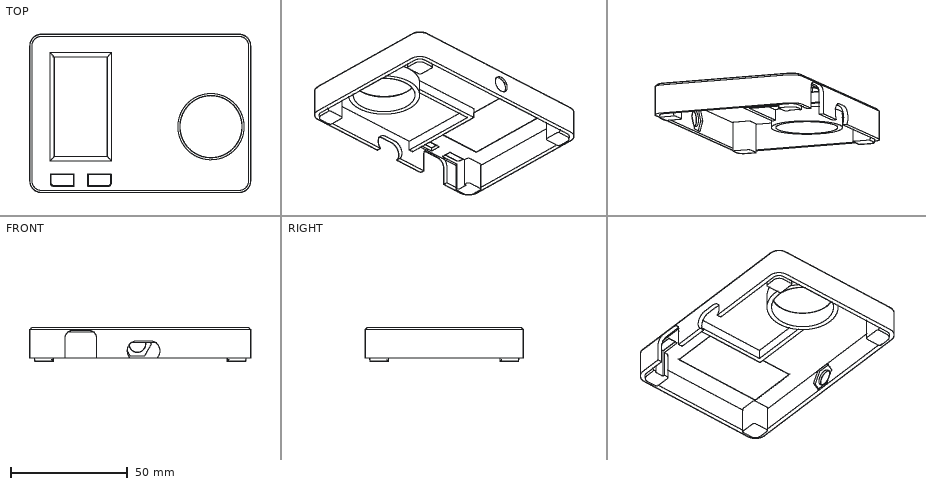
import cadquery as cq

length = 94.65
width = 67.9
height = 14.5

foot_height = 1.3
wall = 2.0
corner_radius = 5.0
top_chamfer = 0.9
rim_z = foot_height
ceiling_z = height - wall
inner_length = length - 2 * wall
inner_width = width - 2 * wall
inner_radius = corner_radius - wall

post_size = 8.1
post_edge_radius = 1.0
foot_straight = 0.3
foot_taper_height = foot_height - foot_straight
foot_taper_inset = 0.2

display_x = -25.5
display_y = 2.8
display_length = 22.5
display_width = 42.5

button_length = 9.5
button_width = 4.6
button_spacing = 15.9
button_y = -28.6
button_corner_radius = 1.0
button_chamfer = 0.4

opening_x = 30.3
opening_y = -5.7
opening_diameter = 26.5
opening_chamfer = 0.9
collar_depth = 8.3

notch_length = 13.6
notch_top_z = height - 1.2
notch_radius = 3.5
slot_x = 1.4
slot_length = 14.0
slot_height = 8.7
slot_z = height - 10.0

connector_x = -1.2
connector_z = height - 7.1
connector_diameter = 7.0
nut_across_corners = 12.0
nut_seat_depth = 0.9

rib_x = -11.9
rib_y = 6.0
rib_bottom_z = height - 6.4
rib_thickness = wall


def block(x_min, x_max, y_min, y_max, z_min, z_max):
    """Axis-aligned box between the given limits."""
    return (
        cq.Workplane("XY")
        .box(x_max - x_min, y_max - y_min, z_max - z_min, centered=False)
        .translate((x_min, y_min, z_min))
    )


def rounded_block(x_size, y_size, z_min, z_max, radius):
    """Box centred in X and Y with rounded upright edges."""
    return (
        block(-x_size / 2, x_size / 2, -y_size / 2, y_size / 2, z_min, z_max)
        .edges("|Z")
        .fillet(radius)
    )


def make_shell():
    """Open-bottomed box with rounded corners and a chamfered top edge."""
    outside = rounded_block(length, width, rim_z, height, corner_radius)
    inside = rounded_block(inner_length, inner_width, rim_z, ceiling_z, inner_radius)
    return outside.faces(">Z").chamfer(top_chamfer).cut(inside)


def make_posts():
    """Four corner posts that fit the inside of the shell, tapered on the outside of the feet."""
    envelope = (
        rounded_block(inner_length, inner_width, 0, ceiling_z, inner_radius)
        .faces("<Z")
        .chamfer(foot_taper_height, foot_taper_inset)
    )
    columns = (
        cq.Workplane("XY")
        .rect(inner_length - post_size, inner_width - post_size, forConstruction=True)
        .vertices()
        .rect(post_size, post_size)
        .extrude(ceiling_z)
        .edges("|Z")
        .fillet(post_edge_radius)
    )
    return columns.intersect(envelope)


def make_display_cutter():
    """Window that widens at 45 degrees from the ceiling to the top face."""
    return (
        cq.Workplane("XY")
        .workplane(offset=ceiling_z)
        .center(display_x, display_y)
        .rect(display_length, display_width)
        .workplane(offset=wall)
        .rect(display_length + 2 * wall, display_width + 2 * wall)
        .loft()
    )


def make_button_cutter():
    """Button window right of the display centre line, chamfered at the top face."""
    window = (
        cq.Workplane("XY")
        .rect(button_length, button_width)
        .extrude(height - button_chamfer)
        .edges("|Z and >X and <Y")
        .fillet(button_corner_radius)
    )
    flared = window.faces(">Z").wires().toPending().extrude(button_chamfer, taper=-45)
    return flared.translate((button_spacing / 2, button_y, 0))


def make_rib():
    """Rib running from the front wall, then turning to meet the collar."""
    front_y = -inner_width / 2
    along_y = block(rib_x, rib_x + rib_thickness, front_y, rib_y, rib_bottom_z, ceiling_z)
    along_x = block(rib_x, opening_x, rib_y - rib_thickness, rib_y, rib_bottom_z, ceiling_z)
    return along_y.union(along_x)


def make_opening_cutter():
    """Round through opening, chamfered at the top face."""
    radius = opening_diameter / 2
    chamfer_z = height - opening_chamfer
    bore = cq.Workplane("XY").circle(radius).extrude(height)
    flare = (
        cq.Workplane("XY")
        .workplane(offset=chamfer_z)
        .circle(radius)
        .extrude(opening_chamfer, taper=-45)
    )
    return bore.union(flare).translate((opening_x, opening_y, 0))


def make_collar():
    """Disc under the plate that becomes a ring once the round opening is cut."""
    return (
        cq.Workplane("XY")
        .workplane(offset=height - collar_depth)
        .center(opening_x, opening_y)
        .circle(opening_diameter / 2 + wall)
        .extrude(collar_depth - wall)
    )


def make_notch_cutter():
    """Front notch below the display, open at the rim, with rounded upper corners."""
    front_y = -width / 2
    return (
        block(
            display_x - notch_length / 2, display_x + notch_length / 2,
            front_y, front_y + wall,
            0, notch_top_z,
        )
        .edges("|Y and >Z")
        .fillet(notch_radius)
    )


def make_slot_cutter():
    """Round-ended slot through the front wall, reaching past the rim."""
    return (
        cq.Workplane("XZ", origin=(slot_x, -width / 2, slot_z))
        .slot2D(slot_length, slot_height)
        .extrude(-wall)
    )


def make_connector_cutter():
    """Connector hole through the back wall and the nut seat on its inner side."""
    back = cq.Workplane("XZ", origin=(connector_x, inner_width / 2, connector_z))
    hole = back.circle(connector_diameter / 2).extrude(-wall)
    nut_seat = back.polygon(6, nut_across_corners).extrude(-nut_seat_depth)
    return hole.union(nut_seat)


result = make_shell().union(make_posts()).union(make_collar()).union(make_rib())

button = make_button_cutter()
for button_window in (button, button.mirror("YZ")):
    result = result.cut(button_window.translate((display_x, 0, 0)))

for cutter in (
    make_display_cutter(),
    make_opening_cutter(),
    make_notch_cutter(),
    make_slot_cutter(),
    make_connector_cutter(),
):
    result = result.cut(cutter)